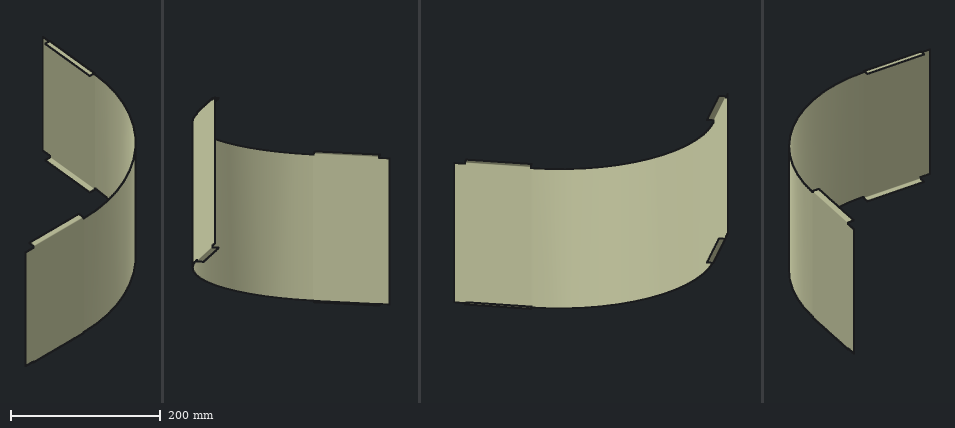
import cadquery as cq
import math

side = 314.5
overall_height = 205.3
sheet_height = 200.0
thickness = 0.6

leg_length = 105.0
outer_radius = side - leg_length
inner_radius = outer_radius - thickness

flange_length = 89.3
flange_depth = 9.5
flange_end_gap = 14.8
bend_outer_radius = 1.5
flange_rise = (overall_height - sheet_height) / 2

inner_face = side - thickness
diagonal = math.sqrt(0.5)


def arc_middle(radius):
    """Point halfway round the bend at the given radius."""
    offset = radius * diagonal
    return (leg_length + offset, leg_length + offset)


def curved_sheet():
    """Vertical sheet with two straight legs joined by a quarter bend."""
    return (
        cq.Workplane("XY")
        .moveTo(0, side)
        .lineTo(leg_length, side)
        .threePointArc(arc_middle(outer_radius), (side, leg_length))
        .lineTo(side, 0)
        .lineTo(inner_face, 0)
        .lineTo(inner_face, leg_length)
        .threePointArc(arc_middle(inner_radius), (leg_length, inner_face))
        .lineTo(0, inner_face)
        .close()
        .extrude(sheet_height)
    )


def leg_flange():
    """Bent channel on the Y-side leg: a tall web with a flange at its top and bottom."""
    web = (
        cq.Workplane("XY")
        .box(flange_length, thickness, overall_height, centered=False)
        .translate((flange_end_gap, inner_face, -flange_rise))
    )
    plate = (
        cq.Workplane("XY")
        .box(flange_length, flange_depth, thickness, centered=False)
        .translate((flange_end_gap, side - flange_depth, 0))
    )
    lower = plate.translate((0, 0, -flange_rise))
    upper = plate.translate((0, 0, sheet_height + flange_rise - thickness))
    channel = web.union(lower).union(upper)
    channel = channel.faces(">Y").edges("|X").fillet(bend_outer_radius)
    inner_corners = cq.selectors.BoxSelector(
        (0, inner_face - thickness / 2, -side),
        (side, inner_face + thickness / 2, side),
    )
    return channel.edges("|X").edges(inner_corners).fillet(bend_outer_radius - thickness)


y_leg_flange = leg_flange()
x_leg_flange = y_leg_flange.mirror("XZ").rotate((0, 0, 0), (0, 0, 1), 90)

result = curved_sheet().union(y_leg_flange).union(x_leg_flange)